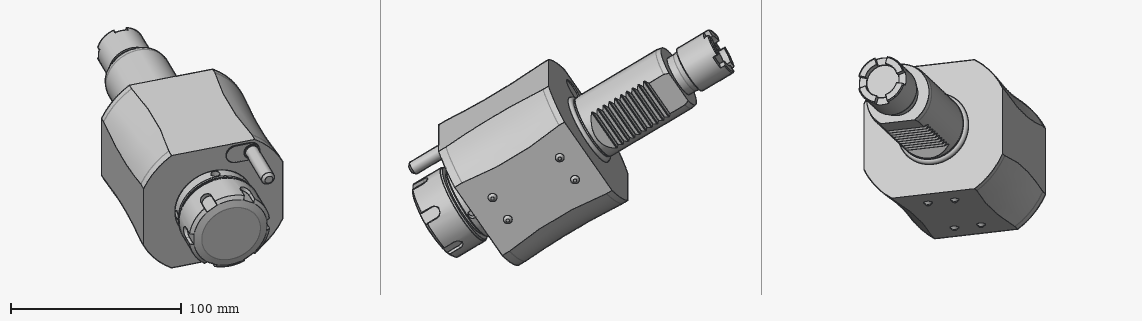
import cadquery as cq
import math

total_length = 201.5

tang_radius = 14.5
tang_tip_chamfer = 0.6
tang_end = 22.0
neck_shoulder_radius = 13.3
neck_radius = 12.5
neck_start = 25.5
tang_recess_radius = 10.0
tang_recess_depth = 4.0
tang_slot_depth = 3.2
tang_slot_half_angle = 16.0
tang_slot_count = 4

shank_radius = 20.0
shank_start = 29.8
shank_chamfer_length = 3.0
shank_chamfer_depth = 0.6
rack_flat_level = -16.3
rack_pitch = 4.0
rack_valley_count = 10
rack_first_valley = 45.2
rack_valley_depth = 1.6
rack_valley_floor = 0.6

ring_length = 2.5
ring_radius = 22.0
ring_fillet = 2.2
ring_groove_length = 1.0
ring_groove_depth = 0.6

body_start = 92.7
body_length = 76.5
body_end = body_start + body_length
body_width = 86.0
body_height = 80.0
body_rim_radius = 47.5
body_waist_radius = 46.2
body_front_rim_length = 3.8
body_rear_rim_length = 5.0
plug_recess_radius = 7.7
plug_recess_depth = 0.8
plug_recess_y = 15.7
plug_recess_z = 27.6

nozzle_height = 1.6
nozzle_base_radius = 2.6
nozzle_offset_y = 8.3
nozzle_positions_x = (107.3, 154.0)

nose_radius = 24.0
nose_end = 176.8
nose_chamfer = 0.6
nose_groove_radius = 20.8
pin_hole_radius = 2.6
pin_hole_depth = 4.0
pin_hole_count = 4
pin_hole_x = 173.2

nut_start = 178.6
nut_rim_radius = 24.4
nut_rim_length = 1.2
nut_radius = 25.0
nut_chamfer_start = 198.8
nut_shoulder_x = 200.4
nut_shoulder_radius = 22.8
nut_face_radius = 18.1
nut_slot_count = 6
nut_slot_width = 7.3
nut_slot_start = 188.5
nut_slot_floor_radius = 22.5

pin_radius = 4.0
pin_end = 201.0
pin_chamfer = 1.6
pin_y = 23.5
pin_z = 32.7
pin_collar_radius = 4.8
pin_collar_length = 1.5
seat_width = 11.7
seat_start_y = 7.9
seat_end_y = 28.5
seat_thickness = 0.8


def rod(start, end, radius, y=0.0, z=0.0):
    """Cylinder along X between two stations."""
    return cq.Workplane("YZ", origin=(start, y, z)).circle(radius).extrude(end - start)


def revolve_about_x(profile):
    """Solid of revolution of a closed profile drawn as (x, radius)."""
    return profile.close().revolve(360, (0, 0, 0), (1, 0, 0))


def repeat_about_x(cutter, count):
    """Copies of a cutter equally spaced around the spindle axis."""
    copies = cutter
    for index in range(1, count):
        copies = copies.union(cutter.rotate((0, 0, 0), (1, 0, 0), index * 360 / count))
    return copies


def make_drive_tang():
    tang = revolve_about_x(
        cq.Workplane("XY")
        .moveTo(0, 0)
        .lineTo(0, tang_radius - tang_tip_chamfer)
        .lineTo(tang_tip_chamfer, tang_radius)
        .lineTo(tang_end, tang_radius)
        .lineTo(tang_end, neck_shoulder_radius)
        .lineTo(neck_start, neck_radius)
        .lineTo(shank_start, neck_radius)
        .lineTo(shank_start, 0)
    )
    slot_reach = 2 * tang_radius
    slot_half_width = slot_reach * math.tan(math.radians(tang_slot_half_angle))
    slot = (
        cq.Workplane("YZ")
        .polyline([(0, 0), (slot_reach, -slot_half_width), (slot_reach, slot_half_width)])
        .close()
        .extrude(tang_slot_depth)
    )
    tang = tang.cut(repeat_about_x(slot, tang_slot_count))
    return tang.cut(rod(0, tang_recess_depth, tang_recess_radius))


def make_rack_cutter():
    """Material removed under the shank: a flat ending in a 45 degree ramp, and V-shaped valleys."""
    last_valley = rack_first_valley + (rack_valley_count - 1) * rack_pitch
    valley_half_width = rack_valley_floor / 2 + rack_valley_depth
    ramp_start = last_valley + valley_half_width
    clearance = 2 * ring_radius
    drop = rack_flat_level + clearance
    cutter = (
        cq.Workplane("XZ")
        .moveTo(shank_start, rack_flat_level)
        .lineTo(ramp_start, rack_flat_level)
        .lineTo(ramp_start + drop, -clearance)
        .lineTo(shank_start, -clearance)
        .close()
        .extrude(shank_radius, both=True)
    )
    for index in range(rack_valley_count):
        center = rack_first_valley + index * rack_pitch
        valley = (
            cq.Workplane("XZ")
            .moveTo(center - valley_half_width, rack_flat_level)
            .lineTo(center - rack_valley_floor / 2, rack_flat_level + rack_valley_depth)
            .lineTo(center + rack_valley_floor / 2, rack_flat_level + rack_valley_depth)
            .lineTo(center + valley_half_width, rack_flat_level)
            .close()
            .extrude(shank_radius, both=True)
        )
        cutter = cutter.union(valley)
    return cutter


def make_shank():
    ring_start = body_start - ring_length
    groove_start = ring_start - ring_groove_length
    groove_radius = shank_radius - ring_groove_depth
    shank = revolve_about_x(
        cq.Workplane("XY")
        .moveTo(shank_start, 0)
        .lineTo(shank_start, shank_radius - shank_chamfer_depth)
        .lineTo(shank_start + shank_chamfer_length, shank_radius)
        .lineTo(groove_start, shank_radius)
        .lineTo(groove_start, groove_radius)
        .lineTo(body_start, groove_radius)
        .lineTo(body_start, 0)
    ).cut(make_rack_cutter())
    ring = rod(ring_start, body_start, ring_radius).faces("<X").edges().fillet(ring_fillet)
    return shank.union(ring)


def make_body():
    blank = revolve_about_x(
        cq.Workplane("XY")
        .moveTo(body_start, 0)
        .lineTo(body_start, body_rim_radius)
        .lineTo(body_start + body_front_rim_length, body_rim_radius)
        .threePointArc(
            (body_start + body_length / 2, body_waist_radius),
            (body_end - body_rear_rim_length, body_rim_radius),
        )
        .lineTo(body_end, body_rim_radius)
        .lineTo(body_end, 0)
    )
    envelope = cq.Workplane("YZ", origin=(body_start, 0, 0)).rect(body_width, body_height).extrude(body_length)
    plug_recess = rod(
        body_start, body_start + plug_recess_depth, plug_recess_radius, plug_recess_y, plug_recess_z
    )
    return blank.intersect(envelope).cut(plug_recess)


def make_nozzles():
    """Short 45 degree truncated cones on the underside of the body."""
    centers = [(x, side * nozzle_offset_y) for x in nozzle_positions_x for side in (-1, 1)]
    return (
        cq.Workplane("XY", origin=(0, 0, -body_height / 2))
        .pushPoints(centers)
        .circle(nozzle_base_radius)
        .extrude(-nozzle_height, taper=45)
    )


def make_nose():
    nose = rod(body_end, nose_end, nose_radius).edges().chamfer(nose_chamfer)
    pin_hole = (
        cq.Workplane("XY", origin=(pin_hole_x, 0, nose_radius - pin_hole_depth))
        .circle(pin_hole_radius)
        .extrude(2 * pin_hole_depth)
    )
    nose = nose.cut(repeat_about_x(pin_hole, pin_hole_count))
    return nose.union(rod(nose_end, nut_start, nose_groove_radius))


def make_nut():
    rim_end = nut_start + nut_rim_length
    nut = revolve_about_x(
        cq.Workplane("XY")
        .moveTo(nut_start, 0)
        .lineTo(nut_start, nut_rim_radius)
        .lineTo(rim_end, nut_rim_radius)
        .lineTo(rim_end, nut_radius)
        .lineTo(nut_chamfer_start, nut_radius)
        .lineTo(nut_shoulder_x, nut_shoulder_radius)
        .lineTo(total_length, nut_face_radius)
        .lineTo(total_length, 0)
    )
    slot_round_x = nut_slot_start + nut_slot_width / 2
    slot_length = total_length - slot_round_x
    slot_height = 2 * (nut_radius - nut_slot_floor_radius)
    slot_plane = cq.Workplane("XZ", origin=(slot_round_x, -nut_slot_floor_radius, 0))
    slot = slot_plane.circle(nut_slot_width / 2).extrude(slot_height)
    slot = slot.union(
        slot_plane.center(slot_length / 2, 0).rect(slot_length, nut_slot_width).extrude(slot_height)
    )
    return nut.cut(repeat_about_x(slot, nut_slot_count))


def make_locating_pin():
    """Chamfered pin with a collar, standing on a thin round-ended seat."""
    pin = rod(body_end, pin_end, pin_radius, pin_y, pin_z).faces(">X").edges().chamfer(pin_chamfer)
    collar = rod(body_end, body_end + pin_collar_length, pin_collar_radius, pin_y, pin_z)
    seat_length = seat_end_y - seat_start_y
    seat_center_y = (seat_start_y + seat_end_y) / 2
    seat = (
        cq.Workplane("YZ", origin=(body_end, seat_center_y, pin_z))
        .slot2D(seat_length, seat_width)
        .extrude(seat_thickness)
    )
    return pin.union(collar).union(seat)


result = (
    make_body()
    .union(make_drive_tang())
    .union(make_shank())
    .union(make_nozzles())
    .union(make_nose())
    .union(make_nut())
    .union(make_locating_pin())
)